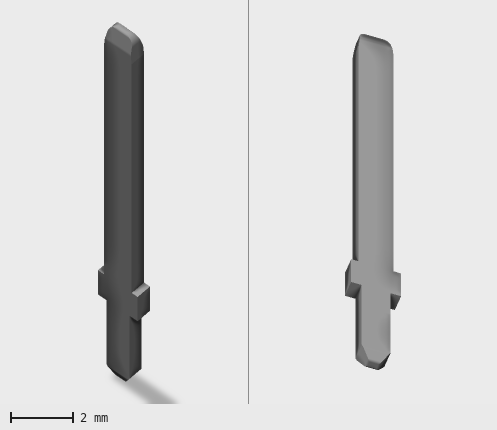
import cadquery as cq

length = 17.0
thickness = 0.6
ample = 2 * length

collar_width = 1.7
collar_bottom = 3.6
collar_height = 1.19
collar_top = collar_bottom + collar_height
blade_width = 1.19
tail_width = 0.99

top_side_taper = 0.99
top_face_taper = 0.6
top_end_width = 0.99
top_end_thickness = 0.24
top_corner_radius = 0.34
top_edge_radius = 0.07
face_blend_radius = 0.3

tail_side_taper = 0.5
tail_face_taper = 0.4
tail_end_width = 0.4
tail_end_thickness = 0.3
tail_blend_radius = 0.15
tail_end_radius = 0.08


def mirrored(half_points):
    """Close a half outline, listed bottom to top, with its mirror image."""
    return half_points + [(-across, z) for across, z in reversed(half_points)]


def edges_at_height(body, direction, z):
    """Pick the edges running along the direction at height z."""
    margin = 0.02
    level = cq.selectors.BoxSelector((-ample, -ample, z - margin), (ample, ample, z + margin))
    return body.edges(direction).edges(level)


width_outline = mirrored([
    (tail_end_width / 2, 0),
    (tail_width / 2, tail_side_taper),
    (tail_width / 2, collar_bottom),
    (collar_width / 2, collar_bottom),
    (collar_width / 2, collar_top),
    (blade_width / 2, collar_top),
    (blade_width / 2, length - top_side_taper),
    (top_end_width / 2, length),
])
width_body = cq.Workplane("XZ").polyline(width_outline).close().extrude(ample / 2, both=True)

width_body = edges_at_height(width_body, "|Y", length).fillet(top_corner_radius)

thickness_outline = mirrored([
    (tail_end_thickness / 2, 0),
    (thickness / 2, tail_face_taper),
    (thickness / 2, length - top_face_taper),
    (top_end_thickness / 2, length),
])
thickness_body = (
    cq.Workplane("YZ").polyline(thickness_outline).close().extrude(ample / 2, both=True)
)

face_roundings = [
    (length, top_edge_radius),
    (length - top_face_taper, face_blend_radius),
    (tail_face_taper, tail_blend_radius),
]
for z, radius in face_roundings:
    thickness_body = edges_at_height(thickness_body, "|X", z).fillet(radius)

pin = width_body.intersect(thickness_body)
result = pin.faces("<Z").edges().fillet(tail_end_radius)